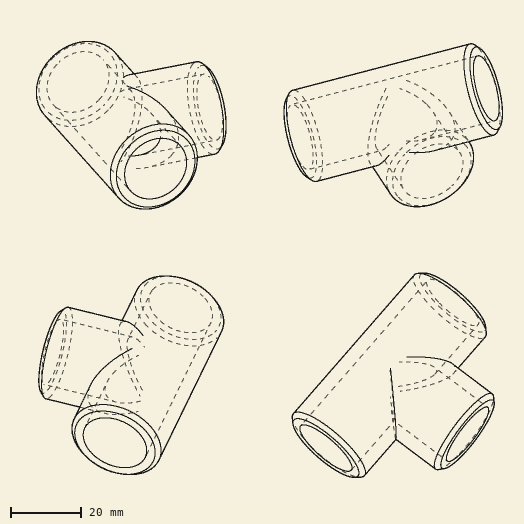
import cadquery as cq

run_length = 56.9
outer_diameter = 26.7
bore_diameter = 19.0
end_chamfer = 1.3
branch_reach = run_length / 2


def along_run(diameter):
    """Cylinder spanning the full run, centred on the origin."""
    return cq.Workplane("YZ").circle(diameter / 2).extrude(run_length / 2, both=True)


def along_branch(diameter):
    """Cylinder from the run axis to the branch end face."""
    return cq.Workplane("XZ").circle(diameter / 2).extrude(-branch_reach)


run = along_run(outer_diameter).faces("<X or >X").edges().chamfer(end_chamfer)
branch = along_branch(outer_diameter).faces(">Y").edges().chamfer(end_chamfer)
body = run.union(branch)

bores = along_run(bore_diameter).union(along_branch(bore_diameter))

result = body.cut(bores)